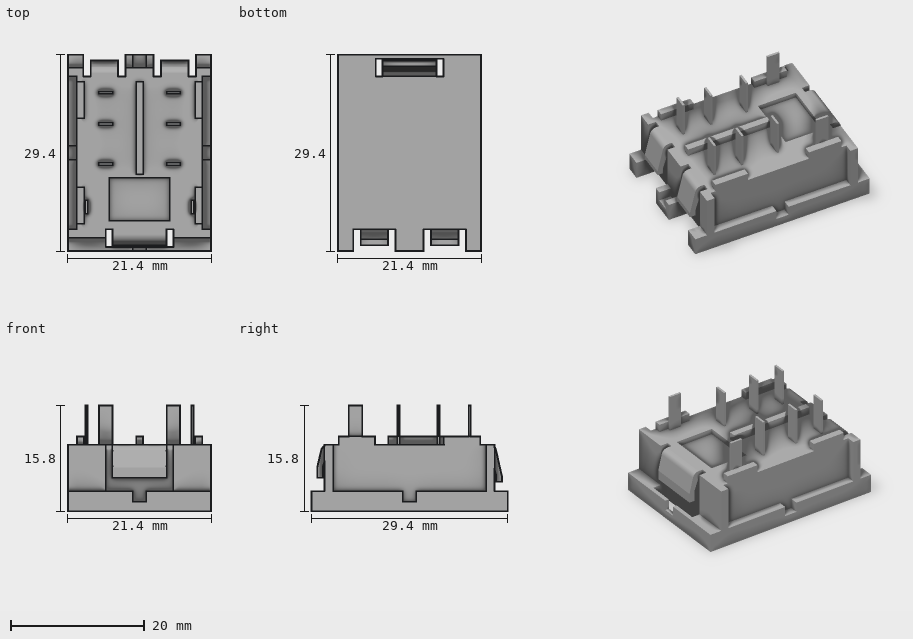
import cadquery as cq

length = 29.4
width = 21.45
total_height = 15.85

base_height = 3.03
deck_height = 9.97
end_step = 1.97
side_recess = 1.32
end_margin = 3.25

notch_width = 2.05
notch_depth = 1.62

front_rim = 0.65
front_slot_width = 10.12
rear_slot_width = 6.3
rear_slot_offset = 5.25

latch_thickness = 0.9
latch_inset = 0.85
latch_outer_radius = 1.05
latch_inner_radius = latch_outer_radius - latch_thickness
inner_bend_rise = 0.2
front_latch_width = 8.12
front_latch_tip = 5.0
front_latch_bend = 6.53
front_latch_shoulder = 1.68
rear_latch_width = 4.15
rear_latch_tip = 4.4
rear_latch_bend = 5.18
rear_latch_shoulder = 1.95

rib_height = 1.25
rib_margin = 4.1
side_rib_width = 1.1
side_rib_length = 5.47
center_rib_width = 1.03
center_rib_length = 13.82

pocket_width = 9.03
pocket_length = 6.4
pocket_front_margin = 4.55
pocket_depth = 0.9

blade_width = 2.03
blade_thickness = 0.35
contact_x = 5.05
contact_y_positions = (9.0, 4.32, -1.65)
coil_x = 7.95
coil_y = -8.1

half_length = length / 2
half_width = width / 2


def block(x_range, y_range, z_range):
    """Axis-aligned box between the given limits."""
    (x0, x1), (y0, y1), (z0, z1) = x_range, y_range, z_range
    return cq.Workplane("XY").box(x1 - x0, y1 - y0, z1 - z0, centered=False).translate((x0, y0, z0))


def span(center, size):
    """Limits of a stretch of the given size around its centre."""
    return (center - size / 2, center + size / 2)


def make_housing():
    """Base plate and block, with side recesses, latch slots, notches and deck pocket."""
    base = cq.Workplane("XY").box(width, length, base_height, centered=(True, True, False))
    upper = cq.Workplane("XY").box(width, length - 2 * end_step, deck_height, centered=(True, True, False))
    body = base.union(upper)

    recess_y = span(0, length - 2 * end_margin)
    notch_z = (base_height - notch_depth, base_height)
    for recess_x in ((-half_width, side_recess - half_width), (half_width - side_recess, half_width)):
        body = body.cut(block(recess_x, recess_y, (base_height, deck_height)))
        body = body.cut(block(recess_x, span(0, notch_width), notch_z))
    for notch_y in ((-half_length, end_step - half_length), (half_length - end_step, half_length)):
        body = body.cut(block(span(0, notch_width), notch_y, notch_z))

    front_slot_y = (front_rim - half_length, end_margin - half_length)
    body = body.cut(block(span(0, front_slot_width), front_slot_y, (0, deck_height)))
    rear_slot_y = (half_length - end_margin, half_length)
    for slot_x in (-rear_slot_offset, rear_slot_offset):
        body = body.cut(block(span(slot_x, rear_slot_width), rear_slot_y, (0, deck_height)))

    pocket_front = pocket_front_margin - half_length
    pocket_y = (pocket_front, pocket_front + pocket_length)
    return body.cut(block(span(0, pocket_width), pocket_y, (deck_height - pocket_depth, deck_height)))


def make_latch(latch_width, tip, bend, shoulder):
    """Latch hooked over the slot wall at the -Y end: flat root, rounded shoulder, sloped arm, upright tip.

    The shoulder is the distance from the base end to the outer corner before rounding.
    """
    inner_face = latch_inset + latch_thickness
    inner_shoulder = shoulder + latch_thickness
    underside = deck_height - latch_thickness
    outline = [
        (end_margin, deck_height),
        (shoulder, deck_height),
        (latch_inset, bend),
        (latch_inset, tip),
        (inner_face, tip),
        (inner_face, bend + inner_bend_rise),
        (inner_shoulder, underside),
        (end_margin, underside),
    ]
    latch = cq.Workplane("YZ").polyline(outline).close().extrude(latch_width / 2, both=True)
    outer_corner = cq.selectors.NearestToPointSelector((0, shoulder, deck_height))
    inner_corner = cq.selectors.NearestToPointSelector((0, inner_shoulder, underside))
    latch = latch.edges(outer_corner).fillet(latch_outer_radius)
    latch = latch.edges(inner_corner).fillet(latch_inner_radius)
    return latch.translate((0, -half_length, 0))


def make_latches():
    """One wide latch at the front and two narrow ones at the rear."""
    latches = make_latch(front_latch_width, front_latch_tip, front_latch_bend, front_latch_shoulder)
    rear = make_latch(rear_latch_width, rear_latch_tip, rear_latch_bend, rear_latch_shoulder).mirror("XZ")
    for latch_x in (-rear_slot_offset, rear_slot_offset):
        latches = latches.union(rear.translate((latch_x, 0, 0)))
    return latches


def make_ribs():
    """Central rib starting near the rear, and four short ribs along the recessed sides."""
    rib_z = (deck_height, deck_height + rib_height)
    rib_rear = half_length - rib_margin
    ribs = block(span(0, center_rib_width), (rib_rear - center_rib_length, rib_rear), rib_z)
    rib_x = half_width - side_recess - side_rib_width / 2
    rib_y = rib_rear - side_rib_length / 2
    for x in (-rib_x, rib_x):
        for y in (-rib_y, rib_y):
            ribs = ribs.union(block(span(x, side_rib_width), span(y, side_rib_length), rib_z))
    return ribs


def make_blades():
    """Six contact blades lying across X and two coil blades lying along Y."""
    blade_z = (deck_height, total_height)
    blades = cq.Workplane("XY")
    for side in (-1, 1):
        for y in contact_y_positions:
            blades = blades.add(block(span(side * contact_x, blade_width), span(y, blade_thickness), blade_z))
        blades = blades.add(block(span(side * coil_x, blade_thickness), span(coil_y, blade_width), blade_z))
    return blades.combine()


result = make_housing().union(make_latches()).union(make_ribs()).union(make_blades())